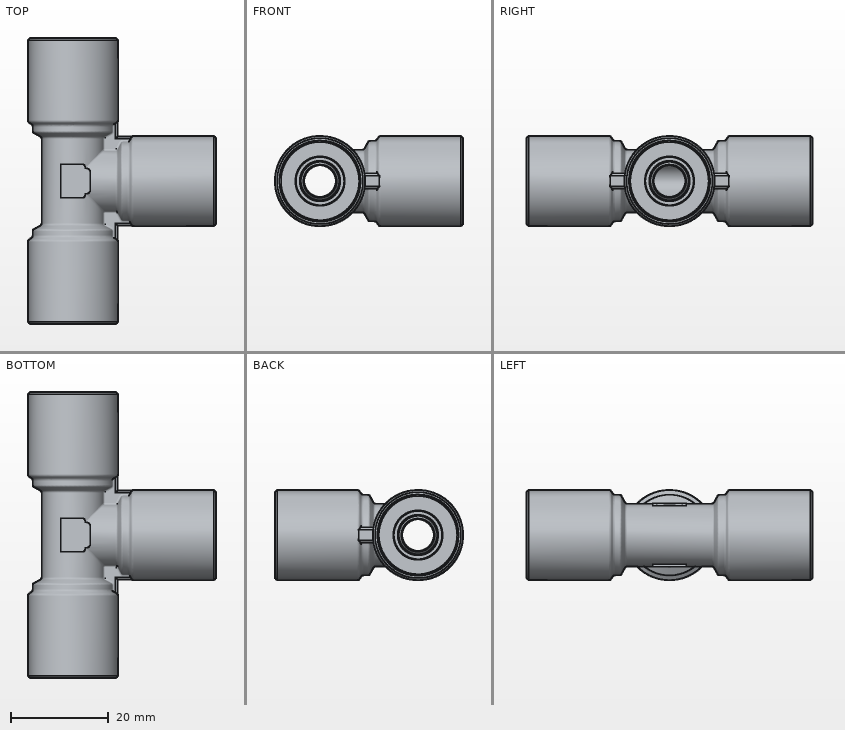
import cadquery as cq
arm_angles = (0, 90, -90)

arm_length = 29.3
sleeve_radius = 9.25
sleeve_start = 12.15
collar_radius = 8.25
collar_start = 9.95
neck_radius = 6.45
neck_end = 8.95
sleeve_taper_length = 0.7
collar_end = sleeve_start - sleeve_taper_length
blend_radius = 0.5
corner_blend_radius = 0.4
end_chamfer = 0.45

dish_radius = 16.0 / 2
dish_rim_radius = 8.3
dish_depth = 0.3

mouth_radius = 10.15 / 2
mouth_depth = 0.7
lip_length = 0.5
socket_radius = 4.9
socket_floor = 9.95
bore_radius = 6.45 / 2
spigot_radius = 7.85 / 2
spigot_root_radius = 4.15
spigot_root_height = 0.25
spigot_tip_radius = 3.4
spigot_nose_length = 1.2
spigot_inset = 2.45
spigot_tip = arm_length - dish_depth - spigot_inset

web_thickness = 3.1
web_chamfer = 0.5
web_edge_inset = 0.09
web_edge = sleeve_radius - web_edge_inset
web_embedding = 1.2
web_reach = sleeve_start + web_embedding

pad_height = 6.5
pad_left = -2.45
pad_step = 2.45
pad_right = 3.6
pad_width = 6.85
pad_tab_width = 5.2
pad_tab_corner_radius = 0.9
pad_corner_radius = 0.5

tolerance = 0.03


def revolve_profile(plane, profile):
    """Solid of revolution about the plane's first axis from (distance, radius) points."""
    return cq.Workplane(plane).polyline(profile).close().revolve(360, (0, 0, 0), (1, 0, 0))


def outside_points():
    """Outside profile of one arm, from the neck out to the end face."""
    return [
        (neck_end, neck_radius),
        (collar_start, collar_radius),
        (collar_end, collar_radius),
        (sleeve_start, sleeve_radius),
        (arm_length - end_chamfer, sleeve_radius),
        (arm_length, sleeve_radius - end_chamfer),
    ]


def is_step(edge):
    """True for the circles between neck and sleeve, false for those on the end faces."""
    return neck_end - tolerance < edge.Center().Length < sleeve_start + tolerance


def branch_outside():
    """The +X arm."""
    profile = [(0, 0), (0, neck_radius), *outside_points(), (arm_length, 0)]
    return revolve_profile("XY", profile).edges("%CIRCLE").filter(is_step).fillet(blend_radius)


def run_outside():
    """The -Y and +Y arms as one body."""
    far_half = [*outside_points(), (arm_length, 0)]
    near_half = [(-distance, radius) for distance, radius in reversed(far_half)]
    return revolve_profile("YZ", near_half + far_half).edges("%CIRCLE").filter(is_step).fillet(blend_radius)


def arm_socket():
    """Everything removed from one arm: end dish, tube socket around the spigot, and bore."""
    dish_floor = arm_length - dish_depth
    lip_outer = dish_floor - mouth_depth
    lip_inner = lip_outer - lip_length
    cavity = (
        cq.Workplane("XY")
        .moveTo(socket_floor, 0)
        .lineTo(socket_floor, socket_radius)
        .lineTo(lip_inner, socket_radius)
        .tangentArcPoint((lip_outer, mouth_radius), relative=False)
        .lineTo(dish_floor, mouth_radius)
        .lineTo(dish_floor, dish_radius)
        .lineTo(arm_length, dish_rim_radius)
        .lineTo(arm_length, 0)
        .close()
        .revolve(360, (0, 0, 0), (1, 0, 0))
    )
    spigot = revolve_profile("XY", [
        (socket_floor, 0),
        (socket_floor, spigot_root_radius),
        (socket_floor + spigot_root_height, spigot_radius),
        (spigot_tip - spigot_nose_length, spigot_radius),
        (spigot_tip, spigot_tip_radius),
        (spigot_tip, 0),
    ])
    bore = cq.Workplane("YZ").circle(bore_radius).extrude(arm_length)
    return cavity.cut(spigot).union(bore)


def web():
    """L-shaped plates beside the branch, running into the collars and sleeves."""
    base = cq.Workplane("XY")
    from_run = (False, True, True)
    across = base.box(web_reach, 2 * web_edge, web_thickness, centered=from_run)
    along = base.box(web_edge, 2 * web_reach, web_thickness, centered=from_run)
    return across.union(along).faces("<Z or >Z").edges().chamfer(web_chamfer)


def pad():
    """Pads on both sides as one block through the crossing."""
    body = (
        cq.Workplane("XY")
        .box(pad_step - pad_left, pad_width, 2 * pad_height, centered=(False, True, True))
        .translate((pad_left, 0, 0))
        .edges("|Z and >X").fillet(pad_corner_radius)
    )
    tab = (
        cq.Workplane("XY")
        .box(pad_right, pad_tab_width, 2 * pad_height, centered=(False, True, True))
        .edges("|Z and >X").fillet(pad_tab_corner_radius)
    )
    return body.union(tab)


def is_crease(edge):
    """True for the diagonal seams between the run neck and the branch neck."""
    middle = edge.Center()
    return edge.geomType() == "ELLIPSE" and abs(middle.x - abs(middle.y)) < tolerance


def is_web_seam(edge):
    """True for the seams where the flat web faces meet the necks and collars."""
    middle = edge.Center()
    nearest, farthest = sorted((abs(middle.x), abs(middle.y)))
    is_level = edge.BoundingBox().zlen < tolerance
    on_web_face = is_level and abs(abs(middle.z) - web_thickness / 2) < tolerance
    clear_of_run = middle.x > neck_radius / 2 and farthest > neck_radius
    return on_web_face and clear_of_run and nearest < web_edge - web_chamfer - tolerance


def is_inner_corner(edge):
    return is_crease(edge) or is_web_seam(edge)


solid_tee = run_outside().union(branch_outside()).union(web()).union(pad())
result = solid_tee.edges().filter(is_inner_corner).fillet(corner_blend_radius)

for angle in arm_angles:
    result = result.cut(arm_socket().rotate((0, 0, 0), (0, 0, 1), angle))